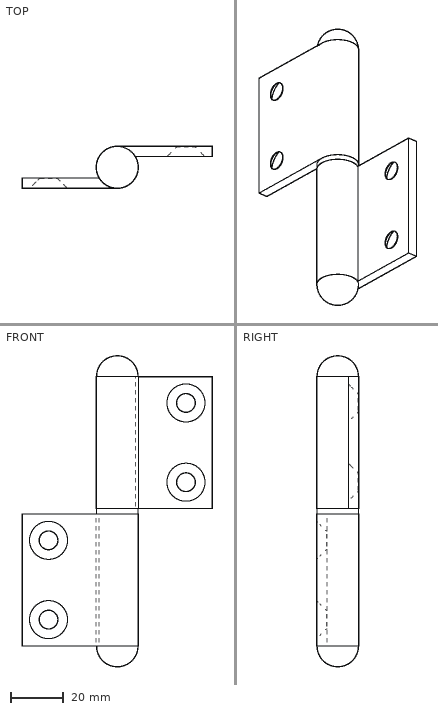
import cadquery as cq

leaf_length = 50.0
leaf_reach = 36.0
leaf_thickness = 4.0
barrel_radius = 8.0

hole_diameter = 7.0
countersink_diameter = 14.4
countersink_angle = 90.0
hole_to_axis = 26.0
hole_to_end = 10.0

washer_thickness = 2.0
cap_radius = 7.9
washer_radius = cap_radius

leaf_inner_z = washer_thickness / 2
leaf_outer_z = leaf_inner_z + leaf_length
hole_z_positions = (leaf_inner_z + hole_to_end, leaf_outer_z - hole_to_end)


def make_leaf(side, bottom_z, hole_heights):
    """Barrel with a flat plate tangent to it, on the +X/+Y side (side = 1) or the -X/-Y side (side = -1).

    The countersinks open toward -Y on either side.
    """
    barrel = cq.Workplane("XY").workplane(offset=bottom_z).circle(barrel_radius).extrude(leaf_length)
    plate_center_y = side * (barrel_radius - leaf_thickness / 2)
    plate = (
        cq.Workplane("XY")
        .workplane(offset=bottom_z)
        .center(side * leaf_reach / 2, plate_center_y)
        .rect(leaf_reach, leaf_thickness)
        .extrude(leaf_length)
    )
    front_face_y = plate_center_y - leaf_thickness / 2
    return (
        barrel.union(plate)
        .copyWorkplane(cq.Workplane("XZ", origin=(0, front_face_y, 0)))
        .pushPoints([(side * hole_to_axis, z) for z in hole_heights])
        .cskHole(hole_diameter, countersink_diameter, countersink_angle, depth=leaf_thickness)
    )


def make_washer():
    """Disc that keeps the two barrels apart."""
    return (
        cq.Workplane("XY")
        .workplane(offset=-washer_thickness / 2)
        .circle(washer_radius)
        .extrude(washer_thickness)
    )


def make_end_cap(end):
    """Hemisphere closing the outer end of the upper (end = 1) or lower (end = -1) barrel."""
    quarter_disc = (
        cq.Workplane("XZ", origin=(0, 0, end * leaf_outer_z))
        .lineTo(cap_radius, 0)
        .radiusArc((0, end * cap_radius), -end * cap_radius)
        .close()
    )
    return quarter_disc.revolve(360, (0, 0, 0), (0, 1, 0))


upper_leaf = make_leaf(1, leaf_inner_z, hole_z_positions)
lower_leaf = make_leaf(-1, -leaf_outer_z, [-z for z in hole_z_positions])
washer = make_washer()
end_caps = [make_end_cap(end) for end in (1, -1)]

result = cq.Compound.makeCompound(
    [upper_leaf.val(), lower_leaf.val(), washer.val(), *[cap.val() for cap in end_caps]]
)